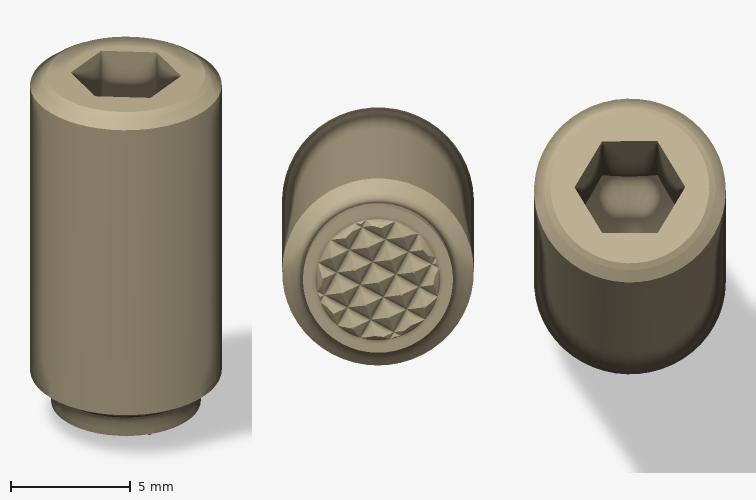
import cadquery as cq
import math

total_length = 16.0
screw_radius = 4.0
top_face_radius = 3.31
rim_radius = 3.57
rim_drop = 0.152
top_chamfer_drop = 0.5
screw_bottom_z = 1.42
bottom_chamfer_height = 0.58

socket_across_flats = 4.0
socket_depth = 5.0
socket_floor_angle = 120.0
socket_corner_radius = socket_across_flats / math.sqrt(3)

insert_diameter = 6.25
insert_radius = insert_diameter / 2
tooth_height = 0.55
tooth_pitch = 1.1
teeth_across = 5
tooth_tip_flat = 0.08
tooth_base_radius = 2.6
tooth_end_radius = 2.25


def make_socket():
    """Hexagonal hole with corners on the X axis, ending in a drill-point cone."""
    hexagon = (
        cq.Workplane("XY")
        .workplane(offset=total_length - socket_depth)
        .polygon(6, 2 * socket_corner_radius)
        .extrude(socket_depth)
    )
    cone_height = socket_corner_radius / math.tan(math.radians(socket_floor_angle / 2))
    cone_profile = [
        (0, total_length - socket_depth - cone_height),
        (socket_corner_radius, total_length - socket_depth),
        (0, total_length - socket_depth),
    ]
    cone = cq.Workplane("XZ").polyline(cone_profile).close().revolve()
    tip_hexagon = (
        cq.Workplane("XY")
        .workplane(offset=total_length - socket_depth - cone_height)
        .polygon(6, 2 * socket_corner_radius)
        .extrude(cone_height)
    )
    return hexagon.union(cone.intersect(tip_hexagon))


def make_screw():
    """Chamfered cylinder whose small end face carries the insert."""
    profile = [
        (0, screw_bottom_z),
        (insert_radius, screw_bottom_z),
        (screw_radius, screw_bottom_z + bottom_chamfer_height),
        (screw_radius, total_length - top_chamfer_drop),
        (rim_radius, total_length - rim_drop),
        (top_face_radius, total_length),
        (0, total_length),
    ]
    return cq.Workplane("XZ").polyline(profile).close().revolve().cut(make_socket())


def make_groove(position):
    """V groove along Y, centred at X = position, that separates two rows of teeth."""
    half_width = (tooth_pitch - tooth_tip_flat) / 2
    profile = [
        (position - half_width, 0),
        (position, tooth_height),
        (position + half_width, 0),
    ]
    return (
        cq.Workplane("XZ")
        .polyline(profile)
        .close()
        .extrude(insert_radius, both=True)
    )


def make_insert():
    """Disc with a tapered field of pyramid teeth cut by two crossing sets of grooves."""
    profile = [
        (0, 0),
        (tooth_end_radius, 0),
        (tooth_base_radius, tooth_height),
        (insert_radius, tooth_height),
        (insert_radius, screw_bottom_z),
        (0, screw_bottom_z),
    ]
    insert = cq.Workplane("XZ").polyline(profile).close().revolve()
    for index in range(teeth_across + 1):
        groove = make_groove((index - teeth_across / 2) * tooth_pitch)
        insert = insert.cut(groove)
        insert = insert.cut(groove.rotate((0, 0, 0), (0, 0, 1), 90))
    return insert


screw = make_screw()
insert = make_insert()

result = cq.Compound.makeCompound([screw.val(), insert.val()])